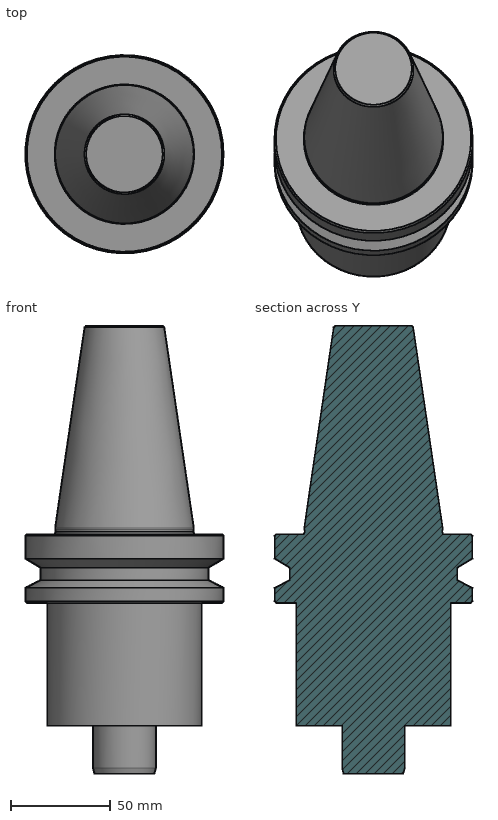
import cadquery as cq

total_height = 225.8

taper_ratio = 7 / 24
taper_length = 101.8
gauge_diameter = 70.0
tip_chamfer = 1.0
gauge_band_height = 0.7
waist_height = 1.1
waist_depth = 0.2
foot_flare = 0.2

flange_diameter = 100.0
flange_top = 120.8
flange_bottom = 86.0
flange_chamfer = 1.0
groove_diameter = 85.0
groove_upper_edge = 108.4
groove_upper_floor = 103.9
groove_lower_floor = 97.5
groove_lower_edge = 93.7

body_diameter = 78.1
body_bottom = 24.2
pin_diameter = 31.8
pin_chamfer_height = 3.0
pin_chamfer_width = 0.8

gauge_height = total_height - taper_length
tip_diameter = gauge_diameter - taper_ratio * taper_length
tip_radius = tip_diameter / 2
gauge_radius = gauge_diameter / 2
flange_radius = flange_diameter / 2
groove_radius = groove_diameter / 2
body_radius = body_diameter / 2
pin_radius = pin_diameter / 2

profile = [
    (0, 0),
    (pin_radius - pin_chamfer_width, 0),
    (pin_radius, pin_chamfer_height),
    (pin_radius, body_bottom),
    (body_radius, body_bottom),
    (body_radius, flange_bottom),
    (flange_radius - flange_chamfer, flange_bottom),
    (flange_radius, flange_bottom + flange_chamfer),
    (flange_radius, groove_lower_edge),
    (groove_radius, groove_lower_floor),
    (groove_radius, groove_upper_floor),
    (flange_radius, groove_upper_edge),
    (flange_radius, flange_top - flange_chamfer),
    (flange_radius - flange_chamfer, flange_top),
    (gauge_radius + foot_flare, flange_top),
    (gauge_radius - waist_depth, flange_top + waist_height),
    (gauge_radius, gauge_height - gauge_band_height),
    (gauge_radius, gauge_height),
    (tip_radius, total_height - tip_chamfer),
    (tip_radius - tip_chamfer, total_height),
    (0, total_height),
]

result = cq.Workplane("XZ").polyline(profile).close().revolve(360, (0, 0, 0), (0, 1, 0))